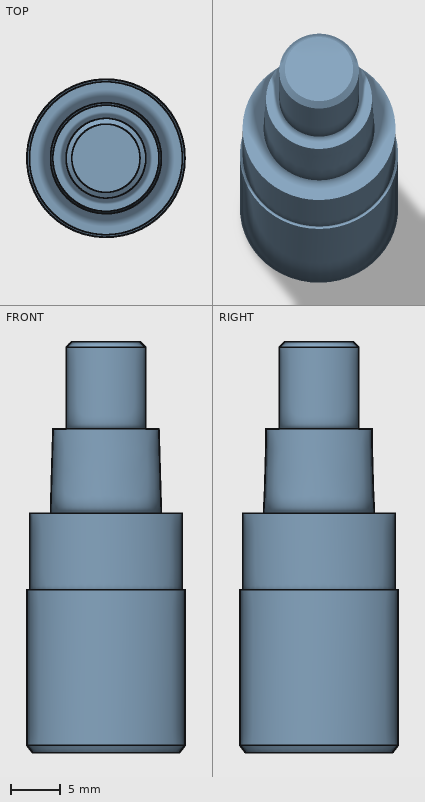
import cadquery as cq

housing_diameter = 15.9
housing_radius = housing_diameter / 2
neck_radius = 7.67
shoulder_height = 16.38
housing_height = 24.05
bottom_chamfer_height = 0.75
bottom_chamfer_width = 0.58

total_height = 41.25
taper_top_height = 32.5
taper_bottom_radius = 5.55
taper_top_radius = 5.32
pin_radius = 4.0
pin_chamfer = 0.58


def make_housing():
    """Revolve the stepped housing about Z, with its bottom face at Z = 0."""
    return (
        cq.Workplane("XZ")
        .lineTo(housing_radius - bottom_chamfer_width, 0)
        .lineTo(housing_radius, bottom_chamfer_height)
        .lineTo(housing_radius, shoulder_height)
        .lineTo(neck_radius, shoulder_height)
        .lineTo(neck_radius, housing_height)
        .lineTo(0, housing_height)
        .close()
        .revolve(360, (0, 0, 0), (0, 1, 0))
    )


def make_plunger():
    """Revolve the plunger about Z, seated on the flat top of the housing."""
    return (
        cq.Workplane("XZ")
        .moveTo(0, housing_height)
        .lineTo(taper_bottom_radius, housing_height)
        .lineTo(taper_top_radius, taper_top_height)
        .lineTo(pin_radius, taper_top_height)
        .lineTo(pin_radius, total_height - pin_chamfer)
        .lineTo(pin_radius - pin_chamfer, total_height)
        .lineTo(0, total_height)
        .close()
        .revolve(360, (0, 0, 0), (0, 1, 0))
    )


housing = make_housing()
plunger = make_plunger()

result = cq.Compound.makeCompound([housing.val(), plunger.val()])